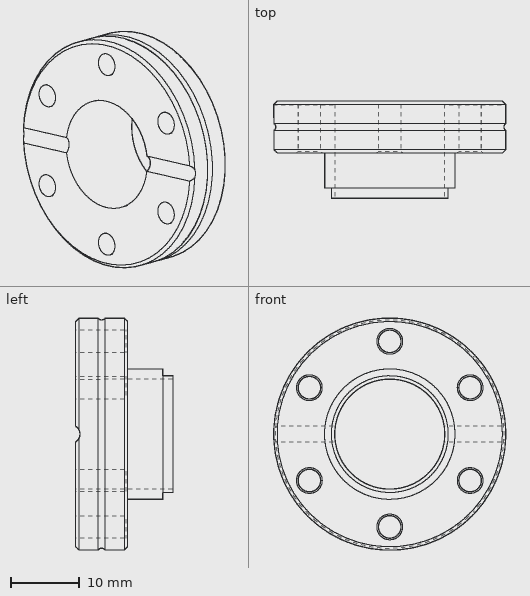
import cadquery as cq

flange_diameter = 33.8
flange_thickness = 7.6
rim_chamfer = 0.5

hub_diameter = 19.0
lip_diameter = 17.0
bore_diameter = 16.0
total_length = 14.2
lip_length = 1.5

rim_groove_width = 1.0
rim_groove_depth = 0.27

bolt_count = 6
bolt_circle_diameter = 27.0
bolt_hole_diameter = 3.25
bolt_hole_chamfer = 0.255

channel_width = 2.3
channel_depth = 0.65

flange_radius = flange_diameter / 2
hub_radius = hub_diameter / 2
lip_radius = lip_diameter / 2
bore_radius = bore_diameter / 2
hub_end = lip_length - total_length

axis_start = (0, 0, 0)
axis_end = (0, 1, 0)

groove_center = -flange_thickness / 2
groove_front = groove_center - rim_groove_width / 2
groove_back = groove_center + rim_groove_width / 2


def arc_radius(chord, height):
    """Radius of the circular arc with the given chord and height."""
    return ((chord / 2) ** 2 + height ** 2) / (2 * height)


def make_body():
    """Turned body: half section in the XY plane, revolved about Y."""
    half_section = (
        cq.Workplane("XY")
        .moveTo(bore_radius, 0)
        .lineTo(flange_radius - rim_chamfer, 0)
        .lineTo(flange_radius, -rim_chamfer)
        .lineTo(flange_radius, groove_back)
        .threePointArc(
            (flange_radius - rim_groove_depth, groove_center),
            (flange_radius, groove_front),
        )
        .lineTo(flange_radius, rim_chamfer - flange_thickness)
        .lineTo(flange_radius - rim_chamfer, -flange_thickness)
        .lineTo(hub_radius, -flange_thickness)
        .lineTo(hub_radius, hub_end)
        .lineTo(lip_radius, hub_end)
        .lineTo(lip_radius, -total_length)
        .lineTo(bore_radius, -total_length)
        .close()
    )
    return half_section.revolve(360, axis_start, axis_end)


def make_bolt_holes():
    """Cutters for the ring of bolt holes, widened to a cone at the neck-side face."""
    hole_radius = bolt_hole_diameter / 2
    mouth_radius = hole_radius + bolt_hole_chamfer
    cutter = (
        cq.Workplane("XY")
        .lineTo(hole_radius, 0)
        .lineTo(hole_radius, bolt_hole_chamfer - flange_thickness)
        .lineTo(mouth_radius, -flange_thickness)
        .lineTo(0, -flange_thickness)
        .close()
        .revolve(360, axis_start, axis_end)
        .translate((0, 0, bolt_circle_diameter / 2))
    )
    holes = cq.Workplane("XY")
    for index in range(bolt_count):
        holes = holes.add(cutter.rotate(axis_start, axis_end, index * 360 / bolt_count))
    return holes.combine()


def make_channel():
    """Cutter for the channel that crosses the whole back face."""
    radius = arc_radius(channel_width, channel_depth)
    return (
        cq.Workplane("YZ")
        .center(radius - channel_depth, 0)
        .circle(radius)
        .extrude(flange_radius, both=True)
    )


result = make_body().cut(make_bolt_holes()).cut(make_channel())